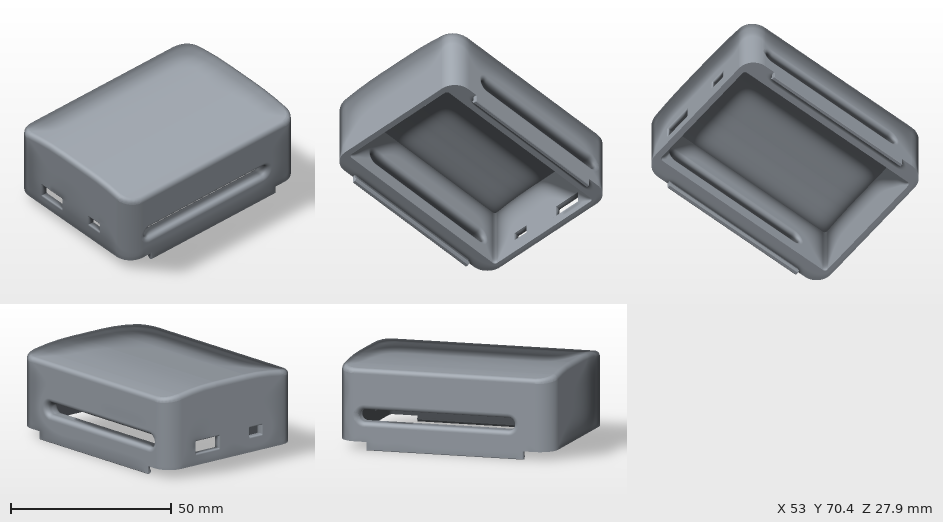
import cadquery as cq
import math

LENGTH_X = 52.97
LENGTH_Y = 70.38
TOTAL_HEIGHT = 27.89
TAB_DROP = 2.65
CROWN_Z = TOTAL_HEIGHT - TAB_DROP
CORNER_RADIUS = 5.8
CROWN_FLAT_HALF = 6.2
CROWN_RADIUS = 87.0
ROOF_EDGE_RADIUS = 1.6

END_WALL = 2.0
SIDE_WALL = 5.5
ROOF_THICKNESS = 2.0
CAVITY_CORNER_RADIUS = 1.0

SLOT_HEIGHT = 4.0
SLOT_CENTRES = 47.0
SLOT_CENTRE_Y = -2.85
SLOT_CENTRE_Z = 8.2
SLOT_EDGE_RADIUS = 1.5

WINDOWS = (
    (-9.8, 5.7, 9.4, 4.0),
    (10.05, 6.45, 5.0, 3.0),
)
WINDOW_CORNER_RADIUS = 0.1
WINDOW_EDGE_RADIUS = 0.5

TAB_LENGTH = 51.5
TAB_THICKNESS = 1.1
TAB_ROOT = 1.0
TAB_CHAMFER = 0.2
HOOK_REACH = 0.45
HOOK_TOP_Z = -1.5
HOOK_FLAT_HEIGHT = 0.5

HALF_X = LENGTH_X / 2
FRONT_Y = -LENGTH_Y / 2


def crowned_block(half_width, length, crown_z, crown_radius):
    """Block from z = 0 up to a roof with a flat strip and two tangent arcs, centred on Y."""
    def roof_z(x):
        run = x - CROWN_FLAT_HALF
        return crown_z - crown_radius + math.sqrt(crown_radius ** 2 - run ** 2)

    middle_x = (CROWN_FLAT_HALF + half_width) / 2
    return (
        cq.Workplane("XZ")
        .moveTo(-half_width, 0)
        .lineTo(half_width, 0)
        .lineTo(half_width, roof_z(half_width))
        .threePointArc((middle_x, roof_z(middle_x)), (CROWN_FLAT_HALF, crown_z))
        .lineTo(-CROWN_FLAT_HALF, crown_z)
        .threePointArc((-middle_x, roof_z(middle_x)), (-half_width, roof_z(half_width)))
        .close()
        .extrude(length / 2, both=True)
    )


def outer_body():
    body = crowned_block(HALF_X, LENGTH_Y, CROWN_Z, CROWN_RADIUS)
    body = body.edges("|Z").fillet(CORNER_RADIUS)
    roof_edges = body.faces(">Z").edges("|X")
    return roof_edges.fillet(ROOF_EDGE_RADIUS)


def cavity():
    block = crowned_block(
        HALF_X - SIDE_WALL,
        LENGTH_Y - 2 * END_WALL,
        CROWN_Z - ROOF_THICKNESS,
        CROWN_RADIUS - ROOF_THICKNESS,
    )
    return block.edges("|Z").fillet(CAVITY_CORNER_RADIUS)


def side_slot():
    return (
        cq.Workplane("YZ")
        .center(SLOT_CENTRE_Y, SLOT_CENTRE_Z)
        .slot2D(SLOT_CENTRES + SLOT_HEIGHT, SLOT_HEIGHT)
        .extrude(LENGTH_X, both=True)
    )


def round_slot_edges(body):
    """Round the outer and inner rims of the slot on both sides."""
    reach_x = LENGTH_X + 2 * SIDE_WALL
    reach_y = SLOT_CENTRES + 2 * SLOT_HEIGHT
    reach_z = 2 * SLOT_HEIGHT
    slot_zone = cq.selectors.BoxSelector(
        (-reach_x / 2, SLOT_CENTRE_Y - reach_y / 2, SLOT_CENTRE_Z - reach_z / 2),
        (reach_x / 2, SLOT_CENTRE_Y + reach_y / 2, SLOT_CENTRE_Z + reach_z / 2),
    )
    rims = body.edges(slot_zone).edges("not |X")
    return rims.fillet(SLOT_EDGE_RADIUS)


def cut_window(body, centre_x, centre_z, width, height):
    """Cut an opening through the front wall and round its rim on the outer face."""
    opening = (
        cq.Workplane("XY")
        .box(width, 2 * END_WALL, height)
        .edges("|Y")
        .fillet(WINDOW_CORNER_RADIUS)
        .translate((centre_x, FRONT_Y + END_WALL / 2, centre_z))
    )
    rim_zone = cq.selectors.BoxSelector(
        (centre_x - width, FRONT_Y - END_WALL / 2, centre_z - height),
        (centre_x + width, FRONT_Y + END_WALL / 2, centre_z + height),
    )
    rim = body.cut(opening).faces("<Y").edges(rim_zone)
    return rim.fillet(WINDOW_EDGE_RADIUS)


def snap_tab():
    """Tab with an inward hook, under the -X wall; it starts inside the wall."""
    outer_x = -HALF_X
    inner_x = outer_x + TAB_THICKNESS
    hook_x = inner_x + HOOK_REACH
    outline = [
        (outer_x, TAB_ROOT),
        (outer_x, -TAB_DROP),
        (inner_x, -TAB_DROP),
        (hook_x, HOOK_TOP_Z - HOOK_FLAT_HEIGHT),
        (hook_x, HOOK_TOP_Z),
        (inner_x, HOOK_TOP_Z),
        (inner_x, TAB_ROOT),
    ]
    tab = cq.Workplane("XZ").polyline(outline).close().extrude(TAB_LENGTH / 2, both=True)
    return tab.faces("<X").edges("not >Z").chamfer(TAB_CHAMFER)


shell = outer_body().cut(cavity()).cut(side_slot())
shell = round_slot_edges(shell)
for size in WINDOWS:
    shell = cut_window(shell, *size)
tab = snap_tab()
result = shell.union(tab).union(tab.mirror("YZ"))